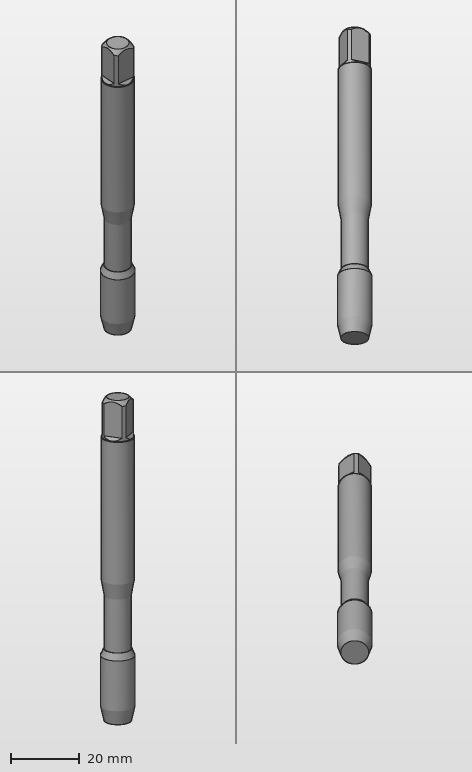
import cadquery as cq

total_length = 100.1

thread_diameter = 10.1
tip_diameter = 8.1
rear_face_diameter = 8.2
lead_length = 4.5
thread_end = 20.1
cutting_length = 22.2

shank_diameter = 9.7
neck_diameter = 7.9
taper_start = 38.6
taper_end = 43.6
shoulder_height = 87.7
drive_diameter = 9.3
drive_across_flats = 7.4
drive_face_diameter = 6.5

thread_radius = thread_diameter / 2
tip_radius = tip_diameter / 2
rear_face_radius = rear_face_diameter / 2
neck_radius = neck_diameter / 2
shank_radius = shank_diameter / 2
drive_radius = drive_diameter / 2
drive_face_radius = drive_face_diameter / 2
half_flats = drive_across_flats / 2

shoulder_chamfer = shank_radius - drive_radius
top_chamfer = drive_radius - drive_face_radius
runout = shank_radius - half_flats


def revolve_profile(points):
    """Turn a closed (radius, height) outline about the Z axis."""
    return cq.Workplane("XZ").polyline(points).close().revolve(360, (0, 0), (0, 1))


def make_cutting_body():
    return revolve_profile([
        (0, 0),
        (tip_radius, 0),
        (thread_radius, lead_length),
        (thread_radius, thread_end),
        (rear_face_radius, cutting_length),
        (0, cutting_length),
    ])


def make_round_shank():
    return revolve_profile([
        (0, cutting_length),
        (neck_radius, cutting_length),
        (neck_radius, taper_start),
        (shank_radius, taper_end),
        (shank_radius, shoulder_height),
        (drive_radius, shoulder_height + shoulder_chamfer),
        (drive_radius, total_length - top_chamfer),
        (drive_face_radius, total_length),
        (0, total_length),
    ])


def make_flat_cutter():
    """Wedge-ended block that leaves one drive flat with a sloping run-out."""
    return (
        cq.Workplane("XZ")
        .polyline([
            (half_flats, total_length),
            (half_flats, shoulder_height + runout),
            (shank_radius, shoulder_height),
            (shank_radius, total_length),
        ])
        .close()
        .extrude(shank_radius, both=True)
    )


def make_shank_body():
    shank = make_round_shank()
    flat_cutter = make_flat_cutter()
    for angle in (0, 90, 180, 270):
        shank = shank.cut(flat_cutter.rotate((0, 0, 0), (0, 0, 1), angle))
    return shank


cutting_body = make_cutting_body()
shank_body = make_shank_body()

result = cq.Compound.makeCompound([cutting_body.val(), shank_body.val()])